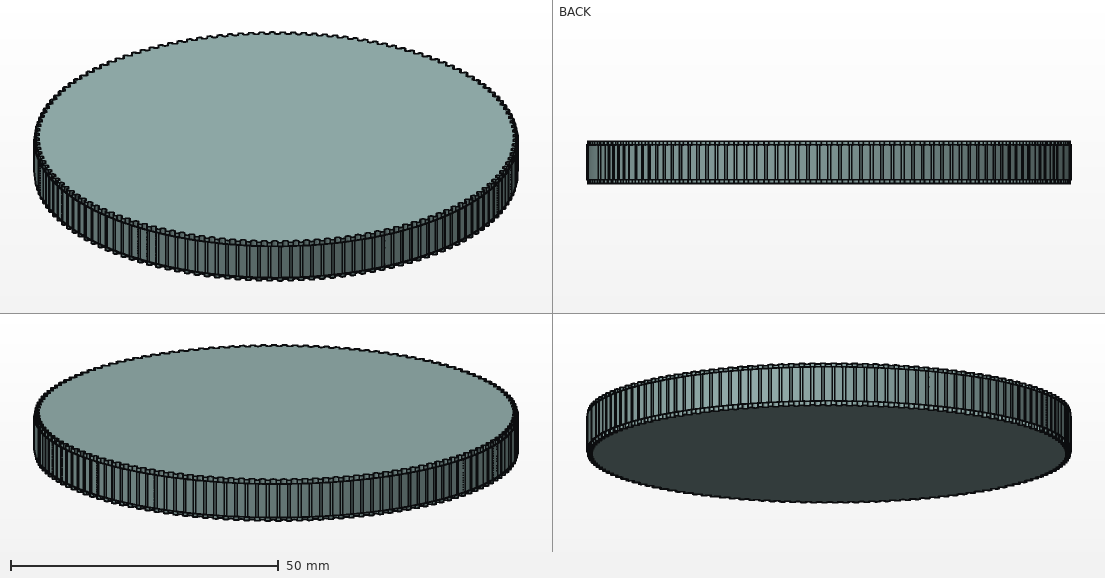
import cadquery as cq
import math

outer_diameter = 90.4
thickness = 8.0
rim_height = 0.7
sleeve_height = thickness - 2 * rim_height
sleeve_step = 0.2
sleeve_overlap = 0.01
tooth_count = 142
groove_width = 1.1
groove_depth = 0.8
tip_radius = 0.3

outer_radius = outer_diameter / 2
tooth_radius = outer_radius - sleeve_step
root_radius = tooth_radius - groove_depth
pitch_angle = 2 * math.pi / tooth_count

half_width = groove_width / 2
floor_center_out = root_radius + half_width
tip_center_side = half_width + tip_radius
tip_center_out = math.sqrt((tooth_radius - tip_radius) ** 2 - tip_center_side ** 2)
land_angle = math.atan2(tip_center_side, tip_center_out)
tip_mid_angle = (land_angle - math.pi / 2) / 2
tip_mid_out = tip_center_out + tip_radius * math.cos(tip_mid_angle)
tip_mid_side = tip_center_side + tip_radius * math.sin(tip_mid_angle)


def turned(out, side, angle):
    """X and Y of a local groove point when its groove lies at the given angle."""
    x = out * math.cos(angle) - side * math.sin(angle)
    y = out * math.sin(angle) + side * math.cos(angle)
    return (x, y)


def add_groove_and_land(outline, angle):
    """Continue the outline through one groove and along the tooth land after it."""
    first_tip_mid = turned(tip_mid_out, -tip_mid_side, angle)
    first_wall_top = turned(tip_center_out, -half_width, angle)
    first_wall_foot = turned(floor_center_out, -half_width, angle)
    floor_mid = turned(root_radius, 0, angle)
    second_wall_foot = turned(floor_center_out, half_width, angle)
    second_wall_top = turned(tip_center_out, half_width, angle)
    second_tip_mid = turned(tip_mid_out, tip_mid_side, angle)
    land_start = turned(tooth_radius, 0, angle + land_angle)
    land_mid = turned(tooth_radius, 0, angle + pitch_angle / 2)
    land_end = turned(tooth_radius, 0, angle + pitch_angle - land_angle)
    return (
        outline.threePointArc(first_tip_mid, first_wall_top)
        .lineTo(*first_wall_foot)
        .threePointArc(floor_mid, second_wall_foot)
        .lineTo(*second_wall_top)
        .threePointArc(second_tip_mid, land_start)
        .threePointArc(land_mid, land_end)
    )


def toothed_disk():
    """Disk with round-bottomed grooves and rounded tooth corners over its full thickness."""
    outline = cq.Workplane("XY").moveTo(*turned(tooth_radius, 0, -land_angle))
    for index in range(tooth_count):
        outline = add_groove_and_land(outline, index * pitch_angle)
    return outline.close().extrude(thickness)


def sleeve():
    """Thin wall around the teeth that closes the groove mouths between the two rims."""
    return (
        cq.Workplane("XY", origin=(0, 0, rim_height))
        .circle(outer_radius)
        .circle(tooth_radius - sleeve_overlap)
        .extrude(sleeve_height)
    )


result = toothed_disk().union(sleeve())